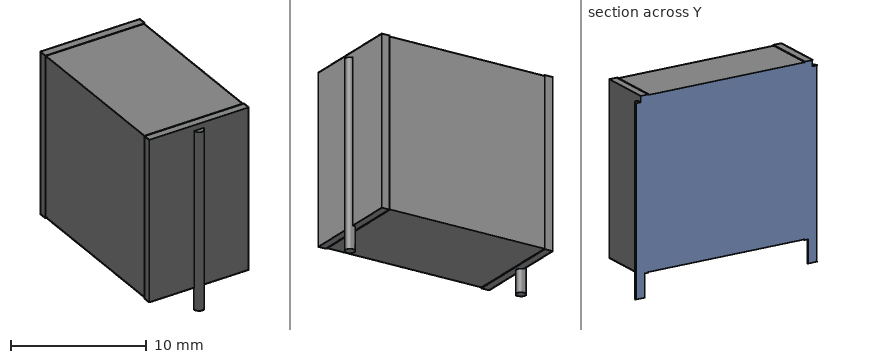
import cadquery as cq


plate_span = 15.0
plate_thickness = 0.7
plate_depth = 8.7
plate_height = 14.0

core_inset = 0.05
core_length = plate_span - 2 * plate_thickness
core_depth = plate_depth - 2 * core_inset
core_height = plate_height - 2 * core_inset

lead_diameter = 0.8
lead_pitch = plate_span
lead_protrusion = 1.9
lead_top_gap = 0.5
lead_length = lead_protrusion + plate_height - lead_top_gap


def make_core():
    return (
        cq.Workplane("XY")
        .workplane(offset=core_inset)
        .rect(core_length, core_depth)
        .extrude(core_height)
    )


def make_end_plate(side):
    center_x = side * (plate_span - plate_thickness) / 2
    return (
        cq.Workplane("XY")
        .center(center_x, 0)
        .rect(plate_thickness, plate_depth)
        .extrude(plate_height)
    )


def make_lead(side):
    return (
        cq.Workplane("XY")
        .workplane(offset=-lead_protrusion)
        .center(side * lead_pitch / 2, 0)
        .circle(lead_diameter / 2)
        .extrude(lead_length)
    )


result = make_core()
for side in (-1, 1):
    result = result.union(make_end_plate(side)).union(make_lead(side))